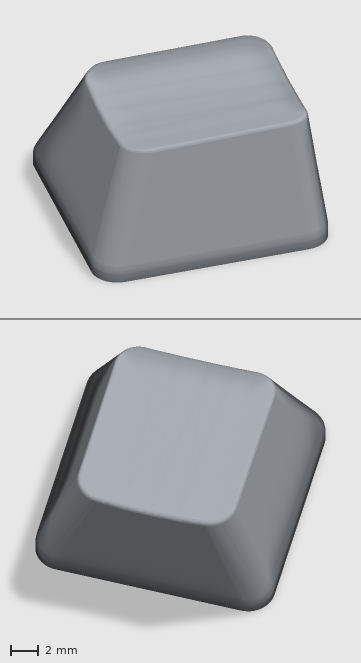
import cadquery as cq

BASE_SIDE = 18.16
BASE_CORNER_RADIUS = 2
TOP_CORNER_RADIUS = 1.9
BEND_START_HEIGHT = 0.73
BEND_END_HEIGHT = 1.3
BEND_SECTIONS = 4
BLANK_HEIGHT = 10.17

SIDE_SLOPE = 0.375
FRONT_SLOPE = 0.4
BACK_SLOPE = 0.082

DISH_RADIUS = 34.87
DISH_FLOOR_HEIGHT = 8.73
DISH_TILT = 0.9
RIM_RADIUS = 0.29


def wall_run(height):
    """Inward run at a height, per unit of wall slope: parabolic in the bend, then linear."""
    bend_height = BEND_END_HEIGHT - BEND_START_HEIGHT
    if height < BEND_END_HEIGHT:
        return (height - BEND_START_HEIGHT) ** 2 / (2 * bend_height)
    return height - BEND_START_HEIGHT - bend_height / 2


def section(height, corner_radius):
    """Rounded rectangular cross-section of the blank at a height."""
    run = wall_run(height)
    width = BASE_SIDE - 2 * SIDE_SLOPE * run
    front_y = -BASE_SIDE / 2 + FRONT_SLOPE * run
    back_y = BASE_SIDE / 2 - BACK_SLOPE * run
    outline = cq.Sketch().rect(width, back_y - front_y).vertices().fillet(corner_radius)
    return outline.moved(cq.Location(cq.Vector(0, (front_y + back_y) / 2, height)))


def make_blank():
    """Vertical skirt, inward bend and straight tapered walls."""
    skirt = (
        cq.Workplane("XY")
        .rect(BASE_SIDE, BASE_SIDE)
        .extrude(BEND_START_HEIGHT)
        .edges("|Z")
        .fillet(BASE_CORNER_RADIUS)
    )
    section_spacing = (BEND_END_HEIGHT - BEND_START_HEIGHT) / (BEND_SECTIONS - 1)
    bend_sections = [
        section(BEND_START_HEIGHT + i * section_spacing, BASE_CORNER_RADIUS)
        for i in range(BEND_SECTIONS)
    ]
    bend = cq.Workplane("XY").placeSketch(*bend_sections).loft()
    taper = (
        cq.Workplane("XY")
        .placeSketch(
            section(BEND_END_HEIGHT, BASE_CORNER_RADIUS),
            section(BLANK_HEIGHT, TOP_CORNER_RADIUS),
        )
        .loft(ruled=True)
    )
    return skirt.union(bend).union(taper)


def make_dish_cutter():
    """Long cylinder whose lowest line is the floor of the dished top."""
    return (
        cq.Workplane("XZ")
        .circle(DISH_RADIUS)
        .extrude(BASE_SIDE, both=True)
        .translate((0, 0, DISH_RADIUS + DISH_FLOOR_HEIGHT))
        .rotate((0, 0, DISH_FLOOR_HEIGHT), (1, 0, DISH_FLOOR_HEIGHT), DISH_TILT)
    )


dished = make_blank().cut(make_dish_cutter())
result = dished.faces(">Z").edges().fillet(RIM_RADIUS)